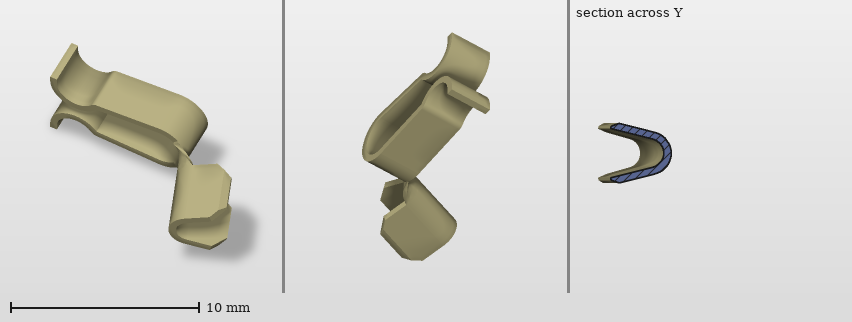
import cadquery as cq
import math


overall_length = 12
strip = 0.4

band_width = 2.5
clip_height = 4.5
hook_radius = 1.52
hook_gap = 0.7
body_radius = 1.6
body_center_x = 6.53
arm_slope = math.radians(3.4)

crimp_turn = math.radians(20)
crimp_start = (8.18, -1.32)
crimp_length = 3.54
crimp_radius = 1.16
wing_spread = math.radians(15)
bevel_start = 2.62
tip_land = 0.15
corner_chamfer = 0.78
tip_advance = (crimp_length - corner_chamfer) * math.sin(crimp_turn)
wing_reach = (overall_length - crimp_start[0] - tip_advance) / math.cos(crimp_turn)

root_half_angle = math.radians(48)
neck_half_angle = math.radians(45)
root_length = 0.07
waist_y = -0.3
waist_half_height = 0.95


def polar(center, radius, angle):
    return (center[0] + radius * math.cos(angle), center[1] + radius * math.sin(angle))


def mirrored(point):
    return (point[0], -point[1])


body_center = (body_center_x, 0)
body_inner_radius = body_radius - strip
arm_normal = math.pi / 2 + arm_slope


def closed_end_section(half_angle, y=0):
    """Curved strip section of the closed end at Y, reaching half_angle above and below Z = 0."""
    outer_end = polar(body_center, body_radius, half_angle)
    inner_end = polar(body_center, body_inner_radius, half_angle)
    return (
        cq.Workplane("XZ", origin=(0, y, 0))
        .moveTo(*mirrored(inner_end))
        .threePointArc(polar(body_center, body_inner_radius, 0), inner_end)
        .lineTo(*outer_end)
        .threePointArc(polar(body_center, body_radius, 0), mirrored(outer_end))
        .close()
    )


def make_arm():
    """Upper arm of the clip band: hook, knee and sloping arm up to the closed end."""
    hook_center = (hook_radius, hook_gap / 2 + hook_radius)
    hook_inner = hook_radius - strip
    top_z = clip_height / 2

    arm_direction = (math.cos(arm_slope), math.sin(arm_slope))
    arm_start = polar(body_center, body_inner_radius, arm_normal)
    offset = (arm_start[0] - hook_center[0], arm_start[1] - hook_center[1])
    along = offset[0] * arm_direction[0] + offset[1] * arm_direction[1]
    across_squared = offset[0] ** 2 + offset[1] ** 2 - along ** 2
    arm_length = along - math.sqrt(hook_radius ** 2 - across_squared)
    knee = (arm_start[0] - arm_length * arm_direction[0], arm_start[1] - arm_length * arm_direction[1])

    hook_end = math.atan2(knee[1] - hook_center[1], knee[0] - hook_center[0])
    knee_start = hook_end + math.pi
    knee_middle = (knee_start + arm_normal) / 2
    hook_middle = (hook_end - math.pi) / 2

    return (
        cq.Workplane("XZ")
        .moveTo(0, top_z)
        .lineTo(0, hook_center[1])
        .threePointArc(polar(hook_center, hook_radius, hook_middle), knee)
        .lineTo(*arm_start)
        .lineTo(*polar(body_center, body_radius, arm_normal))
        .lineTo(*polar(knee, strip, arm_normal))
        .threePointArc(polar(knee, strip, knee_middle), polar(knee, strip, knee_start))
        .threePointArc(polar(hook_center, hook_inner, hook_middle), (strip, hook_center[1]))
        .lineTo(strip, top_z)
        .close()
        .extrude(-band_width)
    )


crimp_plane = cq.Plane(
    origin=(crimp_start[0], crimp_start[1], 0),
    xDir=(math.cos(crimp_turn), math.sin(crimp_turn), 0),
    normal=(math.sin(crimp_turn), -math.cos(crimp_turn), 0),
)
trough_center = (crimp_radius, 0)
trough_inner = crimp_radius - strip
wing_angle = math.pi / 2 + wing_spread
trough_outer_end = polar(trough_center, crimp_radius, wing_angle)
trough_inner_end = polar(trough_center, trough_inner, wing_angle)


def on_wing(start, w):
    """Point at W on the wing face that starts at the given point."""
    return (w, start[1] + (w - start[0]) * math.tan(wing_spread))


wing_tip = on_wing(trough_inner_end, wing_reach)


def make_crimp():
    bevel_edge = on_wing(trough_outer_end, bevel_start)
    land_edge = polar(wing_tip, tip_land, wing_angle)
    crimp = (
        cq.Workplane("XY")
        .moveTo(*trough_outer_end)
        .lineTo(*bevel_edge)
        .lineTo(*land_edge)
        .lineTo(*wing_tip)
        .lineTo(*trough_inner_end)
        .threePointArc((strip, 0), mirrored(trough_inner_end))
        .lineTo(*mirrored(wing_tip))
        .lineTo(*mirrored(land_edge))
        .lineTo(*mirrored(bevel_edge))
        .lineTo(*mirrored(trough_outer_end))
        .threePointArc((0, 0), trough_outer_end)
        .close()
        .extrude(crimp_length)
    )
    wing_plane = cq.Plane(
        origin=(wing_tip[0], wing_tip[1], crimp_length / 2),
        xDir=(math.cos(wing_spread), math.sin(wing_spread), 0),
        normal=(-math.sin(wing_spread), math.cos(wing_spread), 0),
    )
    margin = strip
    for end in (-1, 1):
        edge = end * crimp_length / 2
        corner = (
            cq.Workplane(wing_plane)
            .polyline([
                (-corner_chamfer - margin, edge + end * margin),
                (margin, edge + end * margin),
                (margin, edge - end * (corner_chamfer + margin)),
            ])
            .close()
            .extrude(2 * strip, both=True)
        )
        crimp = crimp.cut(corner).cut(corner.mirror("XZ"))
    return cq.Workplane(crimp.val().located(cq.Location(crimp_plane)))


def make_neck():
    """The strip flattens from the closed end to a waist, then curls the other way into the trough."""
    band_section = closed_end_section(root_half_angle)
    root_section = closed_end_section(neck_half_angle, -root_length)
    waist_x = crimp_start[0] - (waist_y - crimp_start[1]) * math.tan(crimp_turn)
    waist_section = (
        cq.Workplane("XZ", origin=(waist_x, waist_y, 0))
        .moveTo(0, -waist_half_height)
        .lineTo(0, waist_half_height)
        .lineTo(strip, waist_half_height)
        .lineTo(strip, -waist_half_height)
        .close()
    )
    crimp_section = (
        cq.Workplane(crimp_plane)
        .moveTo(*mirrored(trough_outer_end))
        .threePointArc((0, 0), trough_outer_end)
        .lineTo(*trough_inner_end)
        .threePointArc((strip, 0), mirrored(trough_inner_end))
        .close()
    )
    sections = (band_section, root_section, waist_section, crimp_section)
    wires = [section.wire().val() for section in sections]
    root = cq.Solid.makeLoft(wires[:2], True)
    twist = cq.Solid.makeLoft(wires[1:])
    return cq.Workplane(root).union(cq.Workplane(twist), clean=False)


arm = make_arm()
closed_end = closed_end_section(arm_normal).extrude(-band_width)
result = closed_end
for piece in (arm, arm.mirror("XY"), make_neck(), make_crimp()):
    result = result.union(piece, clean=False)